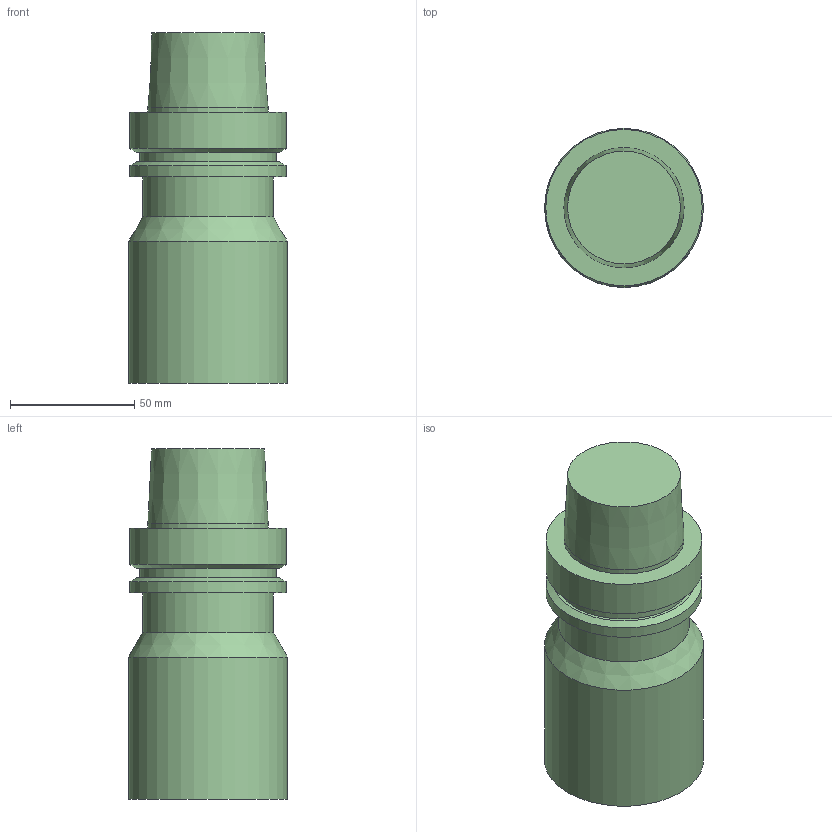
import cadquery as cq
import math


body_diameter = 64.0
neck_diameter = 52.6
flange_diameter = 63.0
groove_diameter = 55.0
groove_ledge_diameter = 57.5
shank_base_diameter = 48.43
shank_taper = 1 / 10

total_height = 141.0
shank_length = 32.0
shank_collar_length = 2.0
flange_length = 26.0
flange_upper_rim = 14.5
flange_lower_rim = 4.5
groove_flank_angle = 30.0
body_length = 57.2
shoulder_angle = 30.0

flange_top = total_height - shank_length
flange_bottom = flange_top - flange_length
taper_start = flange_top + shank_collar_length
groove_top = flange_top - flange_upper_rim
groove_bottom = flange_bottom + flange_lower_rim
groove_flank_depth = (flange_diameter - groove_ledge_diameter) / 2
groove_flank_height = groove_flank_depth * math.tan(math.radians(groove_flank_angle))
ledge_bottom = groove_bottom + groove_flank_height
ledge_top = groove_top - groove_flank_height
shank_tip_diameter = shank_base_diameter - shank_taper * (total_height - taper_start)
shoulder_height = (body_diameter - neck_diameter) / 2 / math.tan(math.radians(shoulder_angle))


def body_points():
    """Lower body, sloped shoulder and neck, as (diameter, height)."""
    return [
        (body_diameter, 0),
        (body_diameter, body_length),
        (neck_diameter, body_length + shoulder_height),
        (neck_diameter, flange_bottom),
    ]


def flange_points():
    """Flange with its gripper groove: sloped flanks, flat ledges and a floor, as (diameter, height)."""
    return [
        (flange_diameter, flange_bottom),
        (flange_diameter, groove_bottom),
        (groove_ledge_diameter, ledge_bottom),
        (groove_diameter, ledge_bottom),
        (groove_diameter, ledge_top),
        (groove_ledge_diameter, ledge_top),
        (flange_diameter, groove_top),
        (flange_diameter, flange_top),
    ]


def shank_points():
    """Short cylindrical collar and the taper above it, as (diameter, height)."""
    return [
        (shank_base_diameter, flange_top),
        (shank_base_diameter, taper_start),
        (shank_tip_diameter, total_height),
    ]


def revolve_profile(points):
    """Solid of revolution about Z from an outer profile of (diameter, height) points."""
    outer = [(diameter / 2, height) for diameter, height in points]
    outline = [(0, 0)] + outer + [(0, total_height)]
    return cq.Workplane("YZ").polyline(outline).close().revolve(360, (0, 0, 0), (0, 1, 0))


result = revolve_profile(body_points() + flange_points() + shank_points())